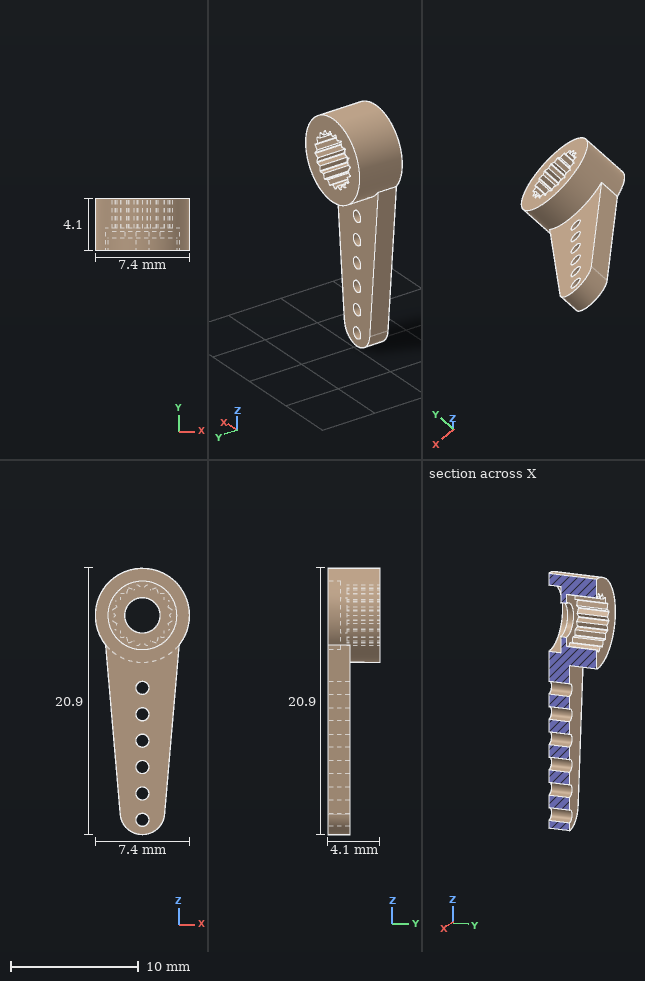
import cadquery as cq
import math

total_height = 20.9
hub_diameter = 7.4
hub_length = 4.1
arm_thickness = 1.75
tip_radius = 1.75
arm_half_width_at_hub = 3.1

recess_diameter = 5.4
recess_depth = 1.0
screw_hole_diameter = 2.75
web_thickness = 0.5

tooth_count = 20
spline_tip_radius = 2.1
spline_root_radius = 2.4
groove_floor_width = 0.06

link_hole_diameter = 1.0
link_hole_count = 6
link_hole_pitch = 2.07
first_link_hole_drop = 5.68

hub_radius = hub_diameter / 2
tip_center_z = -(total_height - hub_radius - tip_radius)
spline_start = recess_depth + web_thickness


def front_plane(depth=0.0):
    """Sketch plane facing -Y, set back from the front face by depth."""
    return cq.Workplane("XZ", origin=(0, depth, 0))


def cylinder(diameter, start, length):
    """Cylinder on the hub axis reaching backwards (+Y) from start."""
    return front_plane(start).circle(diameter / 2).extrude(-length)


def arm():
    """Tapered arm whose straight sides run tangent into the round tip."""
    taper = math.asin((arm_half_width_at_hub - tip_radius) / -tip_center_z)
    tangent_x = tip_radius * math.cos(taper)
    tangent_z = tip_center_z - tip_radius * math.sin(taper)
    outline = (
        front_plane()
        .moveTo(-arm_half_width_at_hub, 0)
        .lineTo(-tangent_x, tangent_z)
        .threePointArc((0, tip_center_z - tip_radius), (tangent_x, tangent_z))
        .lineTo(arm_half_width_at_hub, 0)
        .close()
    )
    return outline.extrude(-arm_thickness)


def spline_socket():
    """Socket ringed by V grooves with flat floors and sharp teeth between, open at the back of the hub."""
    pitch_angle = 2 * math.pi / tooth_count
    floor_half_angle = math.atan(groove_floor_width / 2 / spline_root_radius)
    points = []
    for index in range(tooth_count):
        tip_angle = index * pitch_angle
        groove_angle = tip_angle + pitch_angle / 2
        corners = [
            (spline_tip_radius, tip_angle),
            (spline_root_radius, groove_angle - floor_half_angle),
            (spline_root_radius, groove_angle + floor_half_angle),
        ]
        for radius, angle in corners:
            points.append((radius * math.cos(angle), radius * math.sin(angle)))
    return front_plane(spline_start).polyline(points).close().extrude(-(hub_length - spline_start))


def link_holes():
    """Row of through holes down the middle of the arm."""
    centers = [(0, -first_link_hole_drop - index * link_hole_pitch) for index in range(link_hole_count)]
    return front_plane().pushPoints(centers).circle(link_hole_diameter / 2).extrude(-arm_thickness)


result = (
    cylinder(hub_diameter, 0, hub_length)
    .union(arm())
    .cut(cylinder(recess_diameter, 0, recess_depth))
    .cut(cylinder(screw_hole_diameter, 0, spline_start))
    .cut(spline_socket())
    .cut(link_holes())
)